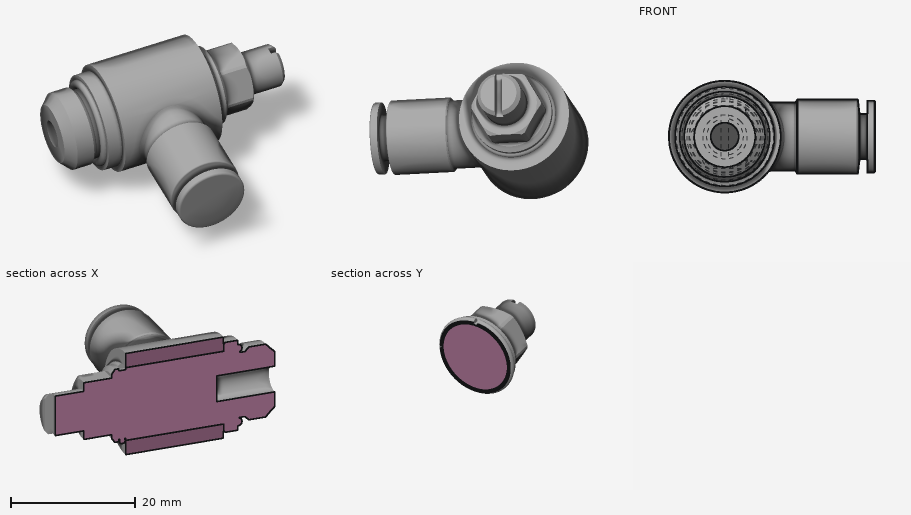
import cadquery as cq
import math


shank_radius = 6.5

tip_chamfer = 1.6
thread_end_y = 4.5
undercut_depth = 0.7
undercut_y = thread_end_y + undercut_depth
flange_y = 6.4
flange_length = 2.3
flange_end_y = flange_y + flange_length
spacer_length = 0.2
housing_y = flange_end_y + spacer_length
housing_length = 17.0
housing_end_y = housing_y + housing_length

flange_radius = 8.0
spacer_radius = 7.8
seal_wire_radius = 0.75
wire_radius = 0.55
wire_gap = 0.6
groove_end_y = housing_end_y + 2 * wire_radius
wire_ring_radius = 6.4
collar_length = 0.75
collar_slope_length = 0.6
hex_y = groove_end_y + collar_length + collar_slope_length
hex_height = 4.8
hex_end_y = hex_y + hex_height
hex_across_flats = 10.1
hex_corner_radius = 5.68
hex_top_radius = 5.1
hex_bevel_height = 0.36
stem_radius = 3.55
stem_length = 6.36
stem_end_y = hex_end_y + stem_length
stem_chamfer = 0.6
slot_width = 1.2
slot_depth = 1.4
bore_radius = 2.25
bore_depth = 10.0

housing_radius = 9.0
outlet_y = housing_y + housing_length / 2
neck_radius = 5.5
neck_fillet = 0.3
junction_fillet = 0.5
socket_radius = 6.0
socket_x = 11.55
socket_end_x = 21.45
socket_chamfer = socket_radius - neck_radius - neck_fillet
socket_edge = 0.25
sleeve_radius = 3.65
sleeve_x = 21.7
sleeve_fillet = 0.2
button_radius = 5.8
button_x = 22.95
button_end_x = 24.2
button_edge = 0.35


def make_ring(ring_radius, section_radius, y):
    """Torus around the Y axis, centred at the given Y."""
    centre = cq.Vector(0, y, 0)
    return cq.Workplane(cq.Solid.makeTorus(ring_radius, section_radius, centre, cq.Vector(0, 1, 0)))


def make_cylinder_y(radius, y_start, y_end):
    """Cylinder around the Y axis between two stations."""
    cylinder = cq.Solid.makeCylinder(radius, y_end - y_start, cq.Vector(0, y_start, 0), cq.Vector(0, 1, 0))
    return cq.Workplane(cylinder)


def make_turned_bolt():
    """Thread, flange, shank and collar turned around Y, with a groove for the wire ring."""
    undercut_radius = shank_radius - undercut_depth
    groove_radius = wire_ring_radius - wire_radius / 2
    return (
        cq.Workplane("XY")
        .moveTo(0, 0)
        .lineTo(shank_radius - tip_chamfer, 0)
        .lineTo(shank_radius, tip_chamfer)
        .lineTo(shank_radius, thread_end_y)
        .lineTo(undercut_radius, undercut_y)
        .lineTo(undercut_radius, flange_y)
        .lineTo(flange_radius, flange_y)
        .lineTo(flange_radius, flange_end_y)
        .lineTo(spacer_radius, flange_end_y)
        .lineTo(spacer_radius, housing_y)
        .lineTo(shank_radius, housing_y)
        .lineTo(shank_radius, housing_end_y)
        .lineTo(groove_radius, housing_end_y)
        .lineTo(groove_radius, groove_end_y)
        .lineTo(shank_radius, groove_end_y)
        .lineTo(shank_radius, groove_end_y + collar_length)
        .lineTo(hex_corner_radius, hex_y)
        .lineTo(0, hex_y)
        .close()
        .revolve(360, (0, 0, 0), (0, 1, 0))
    )


def make_seal():
    """Half-round seal standing out of the thread side of the flange."""
    return make_ring(shank_radius, seal_wire_radius, flange_y)


def make_wire_ring():
    """Open wire ring that retains the housing, with its gap at the top (+Z)."""
    gap_length = 4 * wire_radius
    gap_height = 2 * wire_ring_radius
    gap = cq.Workplane("XY").box(wire_gap, gap_length, gap_height, centered=(True, True, False))
    wire_y = housing_end_y + wire_radius
    return make_ring(wire_ring_radius, wire_radius, wire_y).cut(gap.translate((0, wire_y, 0)))


def make_hex():
    """Hexagon with flats facing +Z and -Z, its corners turned round and its top edge bevelled."""
    circumscribed_diameter = hex_across_flats / math.cos(math.pi / 6)
    hexagon = (
        cq.Workplane("XZ", origin=(0, hex_y, 0))
        .polygon(6, circumscribed_diameter)
        .extrude(-hex_height)
    )
    turned_envelope = (
        cq.Workplane("XY")
        .moveTo(0, hex_y)
        .lineTo(hex_corner_radius, hex_y)
        .lineTo(hex_corner_radius, hex_end_y - hex_bevel_height)
        .lineTo(hex_top_radius, hex_end_y)
        .lineTo(0, hex_end_y)
        .close()
        .revolve(360, (0, 0, 0), (0, 1, 0))
    )
    return hexagon.intersect(turned_envelope)


def make_stem():
    """Adjusting stem with a chamfered end and a screwdriver slot along Z."""
    stem = make_cylinder_y(stem_radius, hex_end_y, stem_end_y).faces(">Y").chamfer(stem_chamfer)
    slot = cq.Workplane("XY").box(slot_width, 2 * slot_depth, 3 * stem_radius)
    return stem.cut(slot.translate((0, stem_end_y, 0)))


def make_bolt():
    bolt = make_turned_bolt()
    for feature in (make_seal(), make_wire_ring(), make_hex(), make_stem()):
        bolt = bolt.union(feature)
    return bolt.cut(make_cylinder_y(bore_radius, 0, bore_depth))


def quarter_arc_middle(corner_x, corner_radius, arc_radius, outward):
    """Middle of the quarter arc rounding a corner; outward is 1 for an inner corner, -1 for an outer edge."""
    setback = arc_radius * (1 - math.sqrt(0.5))
    return (corner_x - setback, corner_radius + outward * setback)


def make_outlet_end():
    """Tube socket, release sleeve and button turned around the outlet axis, after the plain neck."""
    neck_end_x = socket_x - neck_fillet
    socket_fillet_mid = quarter_arc_middle(socket_x, neck_radius, neck_fillet, 1)
    socket_edge_mid = quarter_arc_middle(socket_end_x, socket_radius, socket_edge, -1)
    sleeve_fillet_mid = quarter_arc_middle(button_x, sleeve_radius, sleeve_fillet, 1)
    button_edge_mid = quarter_arc_middle(button_end_x, button_radius, button_edge, -1)
    return (
        cq.Workplane("XY", origin=(0, outlet_y, 0))
        .moveTo(neck_end_x, 0)
        .lineTo(neck_end_x, neck_radius)
        .threePointArc(socket_fillet_mid, (socket_x, neck_radius + neck_fillet))
        .lineTo(socket_x + socket_chamfer, socket_radius)
        .lineTo(socket_end_x - socket_edge, socket_radius)
        .threePointArc(socket_edge_mid, (socket_end_x, socket_radius - socket_edge))
        .lineTo(sleeve_x, sleeve_radius)
        .lineTo(button_x - sleeve_fillet, sleeve_radius)
        .threePointArc(sleeve_fillet_mid, (button_x, sleeve_radius + sleeve_fillet))
        .lineTo(button_x, button_radius)
        .lineTo(button_end_x - button_edge, button_radius)
        .threePointArc(button_edge_mid, (button_end_x, button_radius - button_edge))
        .lineTo(button_end_x, 0)
        .close()
        .revolve(360, (0, 0, 0), (1, 0, 0))
    )


def make_housing():
    """Swivel barrel with a filleted outlet neck, bored through for the bolt shank."""
    barrel = make_cylinder_y(housing_radius, housing_y, housing_end_y)
    neck = (
        cq.Workplane("YZ", origin=(0, outlet_y, 0))
        .circle(neck_radius)
        .extrude(socket_x - neck_fillet)
    )
    junction_zone = cq.selectors.BoxSelector(
        (shank_radius, outlet_y - socket_radius, -socket_radius),
        (housing_radius + junction_fillet, outlet_y + socket_radius, socket_radius),
        boundingbox=True,
    )
    body = barrel.union(neck).edges(junction_zone).fillet(junction_fillet)
    shank_bore = make_cylinder_y(shank_radius, housing_y, housing_end_y)
    return body.union(make_outlet_end()).cut(shank_bore)


bolt = make_bolt()
housing = make_housing()

result = cq.Compound.makeCompound([bolt.solids().val(), housing.solids().val()])